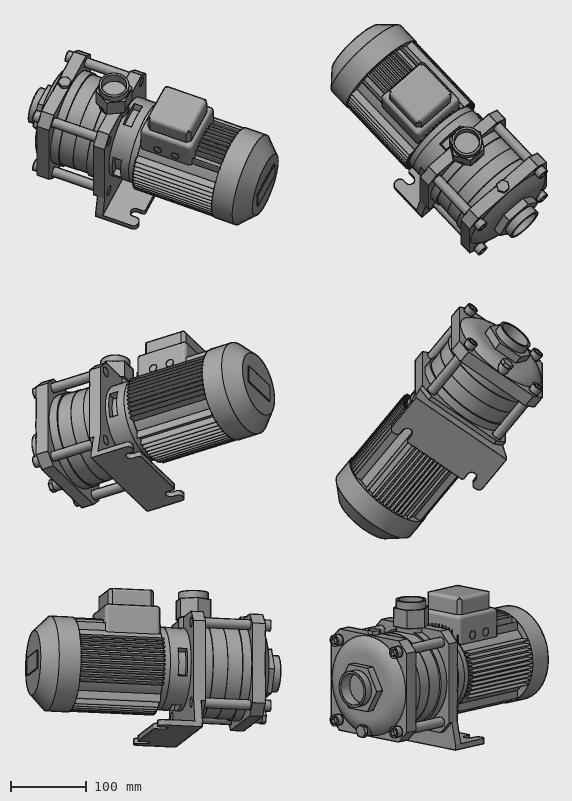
import cadquery as cq
import math


suction_hex_x = 11.0
dome_x = 22.0
front_plate_x = 32.0
front_plate_end_x = 49.5
front_collar_end_x = 61.5
stage_joint_x = 81.5
rear_collar_x = 102.0
rear_plate_x = 113.3
rear_plate_end_x = 129.5
window_x = 134.5
window_end_x = 146.5
motor_x = 158.0
fins_x = 166.5
fan_cover_x = 281.2
fan_cone_x = 311.2
fan_cone_end_x = 331.5
motor_end_x = 333.2

suction_diameter = 48.3
suction_bore = 42.3
suction_bore_depth = 17.3
suction_hex_flats = 59.0
dome_face_diameter = 89.0
dome_diameter = 134.0
collar_diameter = 130.0
front_stage_diameter = 126.0
rear_stage_diameter = 125.0
plate_size = 137.3
plate_chamfer = 15.0

port_x = rear_plate_x
port_diameter = 39.5
port_bore = 33.5
port_bore_depth = 14.0
port_hex_flats = 41.5
port_hex_height = 25.0
port_top_z = 103.5
port_rim_height = 10.0

lantern_diameter = 110.0
window_count = 4
window_angle = 39.5
window_depth = 9.3

foot_x = 119.3
foot_end_x = 178.0
foot_width = 150.0
foot_bottom_z = -90.3
foot_thickness = 7.3
foot_slot_width = 13.3
foot_slot_y = 53.3
foot_slot_centre_x = 167.3
foot_lobe_radius = 6.3
foot_inner_radius = 3.0

bolt_offset = 54.0
bolt_diameter = 13.3
bolt_head_diameter = 15.0
bolt_head_height = 9.5
socket_corners = 11.0
socket_depth = 5.0

plug_hex_flats = 15.0
fill_plug_height = 5.0
fill_plug_x = front_plate_end_x - plug_hex_flats / 2
drain_plug_x = 16.0
drain_head_height = 5.3
drain_neck_diameter = 15.5
drain_z = -59.5
drain_hex_turn = 7

core_diameter = 108.0
fin_tip_diameter = 124.0
fin_thickness = 2.0
side_fin_pitch = 6.0
side_fins_each_way = 5
top_fin_pitch = 6.0
top_fins_each_way = 4
outer_top_fin_y = 34.0
fan_cover_diameter = 126.0
fan_cone_end_diameter = 86.0
name_plate_width = 56.0
name_plate_height = 24.0

box_size = 75.0
box_x = fins_x + 0.3
box_top_z = 77.3
lid_size = 62.0
lid_x = box_x + 7.0
lid_corner_chamfer = 5.0
lid_top_z = 100.0
box_radius = 5.0
knockout_diameter = 11.0
knockout_depth = 0.3
knockout_x = 192.3
knockout_pitch = 25.3
knockout_z = 48.5


def disc(start_x, end_x, diameter):
    """Cylinder along the shaft axis."""
    return cq.Workplane("YZ", (start_x, 0, 0)).circle(diameter / 2).extrude(end_x - start_x)


def hexagon(plane, flats, height):
    """Hexagonal prism with two corners on the local X axis of the plane."""
    corners = flats / math.cos(math.pi / 6)
    return plane.polygon(6, corners).extrude(height)


def bolt_places(start_x):
    """Workplane with a point on each of the four tie bolt axes."""
    spacing = 2 * bolt_offset
    return cq.Workplane("YZ", (start_x, 0, 0)).rect(spacing, spacing, forConstruction=True).vertices()


def clamp_plate(start_x, end_x):
    """Square plate with chamfered corners."""
    plate = cq.Workplane("YZ", (start_x, 0, 0)).rect(plate_size, plate_size).extrude(end_x - start_x)
    return plate.edges("|X").chamfer(plate_chamfer)


def dome():
    """Front cover: a flat face that rounds over tangentially down to the front plate."""
    depth = front_plate_x - dome_x
    face_radius = dome_face_diameter / 2
    rise = dome_diameter / 2 - face_radius
    arc_radius = (depth**2 + rise**2) / (2 * depth)
    half_angle = math.asin(rise / arc_radius) / 2
    middle_x = dome_x + arc_radius * (1 - math.cos(half_angle))
    middle_radius = face_radius + arc_radius * math.sin(half_angle)
    return (
        cq.Workplane("XY")
        .moveTo(dome_x, 0)
        .lineTo(dome_x, face_radius)
        .threePointArc((middle_x, middle_radius), (front_plate_x, dome_diameter / 2))
        .lineTo(front_plate_x, 0)
        .close()
        .revolve(360, (0, 0, 0), (1, 0, 0))
    )


def suction_port():
    """Round mouth and hexagon on the dome, before the bore is cut."""
    hexagon_part = hexagon(cq.Workplane("YZ", (suction_hex_x, 0, 0)), suction_hex_flats, dome_x - suction_hex_x)
    return disc(0, dome_x, suction_diameter).union(hexagon_part)


def discharge_port():
    """Round neck with a hexagon, rising from inside the casing, before the bore is cut."""
    neck = cq.Workplane("XY", (port_x, 0, 0)).circle(port_diameter / 2).extrude(port_top_z)
    hexagon_base_z = port_top_z - port_rim_height - port_hex_height
    hexagon_plane = cq.Workplane("XY", (port_x, 0, hexagon_base_z)).transformed(rotate=(0, 0, 90))
    return neck.union(hexagon(hexagon_plane, port_hex_flats, port_hex_height))


def lantern():
    """Ring that carries the motor, with windows at the top, bottom and both sides."""
    ring = disc(rear_plate_end_x, motor_x, lantern_diameter)
    outer_reach = lantern_diameter
    half_span = outer_reach * math.tan(math.radians(window_angle / 2))
    inner_disc = disc(window_x, window_end_x, lantern_diameter - 2 * window_depth)
    wedge = (
        cq.Workplane("YZ", (window_x, 0, 0))
        .polyline([(0, 0), (half_span, outer_reach), (-half_span, outer_reach)])
        .close()
        .extrude(window_end_x - window_x)
        .cut(inner_disc)
    )
    for index in range(window_count):
        ring = ring.cut(wedge.rotate((0, 0, 0), (1, 0, 0), index * 360 / window_count))
    return ring


def foot():
    """Upright that widens downwards from the rear plate, and a base with two slots open to the back."""
    base_top_z = foot_bottom_z + foot_thickness
    shoulder_z = plate_chamfer - plate_size / 2
    half_plate = plate_size / 2
    half_foot = foot_width / 2
    upright = (
        cq.Workplane("YZ", (foot_x, 0, 0))
        .polyline([
            (-half_plate, shoulder_z),
            (-half_foot, base_top_z),
            (-half_foot, foot_bottom_z),
            (half_foot, foot_bottom_z),
            (half_foot, base_top_z),
            (half_plate, shoulder_z),
        ])
        .close()
        .extrude(rear_plate_end_x - foot_x)
    )
    base = cq.Workplane("XY").box(foot_end_x - foot_x, foot_width, foot_thickness, centered=(False, True, False))
    base = base.translate((foot_x, 0, foot_bottom_z))
    slot_length = 2 * (foot_end_x - foot_slot_centre_x) + foot_slot_width
    slots = (
        cq.Workplane("XY", (foot_end_x, 0, foot_bottom_z))
        .pushPoints([(0, foot_slot_y), (0, -foot_slot_y)])
        .slot2D(slot_length, foot_slot_width)
        .extrude(foot_thickness)
    )
    base = base.cut(slots)
    inner_corners = cq.selectors.BoxSelector(
        (foot_slot_centre_x, -foot_slot_y, foot_bottom_z),
        (foot_end_x + foot_slot_width, foot_slot_y, base_top_z),
    )
    base = base.edges("|Z and >X").edges(inner_corners).fillet(foot_inner_radius)
    base = base.edges("|Z and >X").fillet(foot_lobe_radius)
    return upright.union(base)


def make_pump():
    casing = (
        dome()
        .union(suction_port())
        .union(clamp_plate(front_plate_x, front_plate_end_x))
        .union(disc(front_plate_end_x, front_collar_end_x, collar_diameter))
        .union(disc(front_collar_end_x, stage_joint_x, front_stage_diameter))
        .union(disc(stage_joint_x, rear_collar_x, rear_stage_diameter))
        .union(disc(rear_collar_x, rear_plate_x, collar_diameter))
        .union(clamp_plate(rear_plate_x, rear_plate_end_x))
        .union(lantern())
        .union(discharge_port())
        .union(foot())
    )
    port_cut = (
        cq.Workplane("XY", (port_x, 0, port_top_z - port_bore_depth))
        .circle(port_bore / 2)
        .extrude(port_bore_depth)
    )
    bolt_holes = bolt_places(front_plate_x).circle(bolt_diameter / 2).extrude(rear_plate_end_x - front_plate_x)
    drain_hole = disc(dome_x, front_plate_x, drain_neck_diameter).translate((0, 0, drain_z))
    return casing.cut(disc(0, suction_bore_depth, suction_bore)).cut(port_cut).cut(bolt_holes).cut(drain_hole)


def make_tie_bolt(y, z):
    """Cap screw with a hexagon socket, through both plates and flush with the back of the rear one."""
    head_x = front_plate_x - bolt_head_height
    head = disc(head_x, front_plate_x, bolt_head_diameter)
    socket = cq.Workplane("YZ", (head_x, 0, 0)).polygon(6, socket_corners).extrude(socket_depth)
    bolt = head.union(disc(front_plate_x, rear_plate_end_x, bolt_diameter)).cut(socket)
    return bolt.translate((0, y, z))


def make_fill_plug():
    """Hexagon plug on the top edge of the front plate."""
    plane = cq.Workplane("XY", (fill_plug_x, 0, plate_size / 2)).transformed(rotate=(0, 0, 90))
    return hexagon(plane, plug_hex_flats, fill_plug_height)


def make_drain_plug():
    """Hexagon plug at the bottom of the dome, with a round neck that ends on the front plate."""
    neck_x = drain_plug_x + drain_head_height
    plane = cq.Workplane("YZ", (drain_plug_x, 0, 0)).transformed(rotate=(0, 0, drain_hex_turn))
    head = hexagon(plane, plug_hex_flats, drain_head_height)
    return head.union(disc(neck_x, front_plate_x, drain_neck_diameter)).translate((0, 0, drain_z))


def fin(offset):
    """Upright pair of cooling fins, above and below the core, with rounded tips."""
    reach = math.sqrt((fin_tip_diameter / 2) ** 2 - offset**2)
    return (
        cq.Workplane("YZ", (fins_x, 0, 0))
        .center(offset, 0)
        .slot2D(2 * reach, fin_thickness, 90)
        .extrude(fan_cover_x - fins_x)
    )


def finned_frame():
    """Round core with fins above, below and on both sides."""
    frame = disc(motor_x, fins_x, lantern_diameter).union(disc(fins_x, fan_cover_x, core_diameter))
    upright_offsets = [top_fin_pitch * index for index in range(-top_fins_each_way, top_fins_each_way + 1)]
    upright_offsets += [-outer_top_fin_y, outer_top_fin_y]
    for offset in upright_offsets:
        frame = frame.union(fin(offset))
    for index in range(-side_fins_each_way, side_fins_each_way + 1):
        frame = frame.union(fin(side_fin_pitch * index).rotate((0, 0, 0), (1, 0, 0), 90))
    return frame


def fan_cover():
    """Cylinder that tapers at the back, with a thin name plate on its end."""
    cone = (
        cq.Workplane("YZ", (fan_cone_x, 0, 0))
        .circle(fan_cover_diameter / 2)
        .workplane(offset=fan_cone_end_x - fan_cone_x)
        .circle(fan_cone_end_diameter / 2)
        .loft()
    )
    name_plate = (
        cq.Workplane("YZ", (fan_cone_end_x, 0, 0))
        .rect(name_plate_width, name_plate_height)
        .extrude(motor_end_x - fan_cone_end_x)
    )
    return disc(fan_cover_x, fan_cone_x, fan_cover_diameter).union(cone).union(name_plate)


def square_block(start_x, size, top_z):
    """Square block from the shaft axis up."""
    return cq.Workplane("XY").box(size, size, top_z, centered=(False, True, False)).translate((start_x, 0, 0))


def terminal_lid():
    """Smaller block with a rounded top, its upright corners then cut off straight at 45 degrees."""
    lid = square_block(lid_x, lid_size, lid_top_z).faces(">Z").edges().fillet(box_radius)
    corner_trim_size = math.sqrt(2) * (lid_size - lid_corner_chamfer)
    corner_trim = (
        cq.Workplane("XY", (lid_x + lid_size / 2, 0, 0))
        .transformed(rotate=(0, 0, 45))
        .rect(corner_trim_size, corner_trim_size)
        .extrude(lid_top_z)
    )
    return lid.intersect(corner_trim)


def terminal_box():
    """Box and smaller lid, with two shallow cable knockouts on the -Y side."""
    knockouts = (
        cq.Workplane("XZ", (knockout_x, -box_size / 2, knockout_z))
        .pushPoints([(0, 0), (knockout_pitch, 0)])
        .circle(knockout_diameter / 2)
        .extrude(-knockout_depth)
    )
    box = square_block(box_x, box_size, box_top_z).edges("|Z").fillet(box_radius)
    box = box.faces(">Z").edges().fillet(box_radius)
    return box.union(terminal_lid()).cut(knockouts)


def make_motor():
    return finned_frame().union(terminal_box()).union(fan_cover())


pump = make_pump()
motor = make_motor()
fill_plug = make_fill_plug()
drain_plug = make_drain_plug()
tie_bolts = []
for bolt_y in (-bolt_offset, bolt_offset):
    for bolt_z in (-bolt_offset, bolt_offset):
        tie_bolts.append(make_tie_bolt(bolt_y, bolt_z))

result = cq.Compound.makeCompound([
    pump.val(),
    motor.val(),
    fill_plug.val(),
    drain_plug.val(),
    *[bolt.val() for bolt in tie_bolts],
])